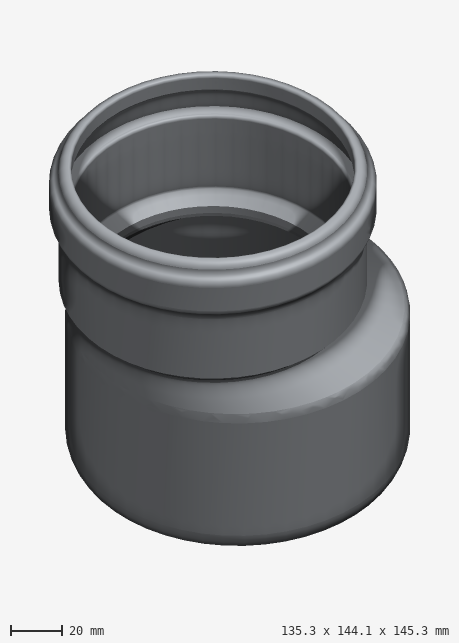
import cadquery as cq
import math


total_height = 145.25
total_depth = 144.14

body_radius = 135.3 / 2
body_bore_radius = 124.7 / 2
body_top_z = 64.1
spigot_round_height = 6.9
spigot_round_inset = 2.15

neck_radius = 110.8 / 2
eccentricity = body_radius - neck_radius
neck_bottom_z = 80.8

shoulder_radius = 5.0
cone_angle = 60
shoulder_steps = 4

socket_radius = 120.9 / 2
socket_base_z = 87.2
socket_top_z = 117.4
bead_radius = total_depth - body_radius - eccentricity
bead_bottom_z = 124.6
bead_top_z = 136.4
bead_lower_blend_z = 121.8
bead_upper_blend_z = 139.5
lip_bottom_z = 142.6

socket_bore_radius = 111 / 2
socket_floor_z = 88.5
socket_floor_round = 0.4
mouth_round = 1.3
groove_radius = 120.4 / 2
groove_bottom_z = 125.8
groove_top_z = 135.7
groove_slope = 1.1
groove_edge_round = 1.4

throat_radius = 99.7 / 2
throat_top_z = 83.5
throat_bottom_z = 80.0
throat_flare_radius = body_bore_radius - eccentricity
throat_flare_z = 78.3
body_bore_top_z = 63.9


def revolve_profile(profile, axis_y):
    """Revolve a closed (radius, z) profile about the vertical axis at Y = axis_y."""
    solid = profile.close().revolve(360, (0, 0, 0), (0, 1, 0))
    return solid.translate((0, axis_y, 0))


def circle_loft(rings, ruled):
    """Loft through horizontal circles given as (radius, centre y, z)."""
    wires = [
        cq.Wire.makeCircle(radius, cq.Vector(0, y, z), cq.Vector(0, 0, 1))
        for radius, y, z in rings
    ]
    return cq.Workplane(obj=cq.Solid.makeLoft(wires, ruled))


def shoulder_ring(angle):
    """Ring of the rounded shoulder; every ring touches the common line on the -Y side."""
    inset = shoulder_radius * (1 - math.cos(math.radians(angle)))
    z = body_top_z + shoulder_radius * math.sin(math.radians(angle))
    return (body_radius - inset / 2, -inset / 2, z)


def make_body_outside():
    profile = (
        cq.Workplane("XZ")
        .moveTo(0, 0)
        .lineTo(0, body_top_z)
        .lineTo(body_radius, body_top_z)
        .lineTo(body_radius, spigot_round_height)
        .tangentArcPoint((body_radius - spigot_round_inset, 0), relative=False)
    )
    return revolve_profile(profile, 0)


def make_cone_outside():
    rings = [shoulder_ring(cone_angle * i / shoulder_steps) for i in range(shoulder_steps + 1)]
    shoulder = circle_loft(rings, False)
    neck_ring = (neck_radius, -eccentricity, neck_bottom_z)
    cone = circle_loft([rings[-1], neck_ring], True)
    return shoulder.union(cone)


def blend_point(z, socket_z, bead_z):
    """Where the hollow and the round of an S-shaped bead flank meet, on its straight chord."""
    share = (z - socket_z) / (bead_z - socket_z)
    return (socket_radius + share * (bead_radius - socket_radius), z)


def make_socket_outside():
    neck_top_z = socket_base_z - (socket_radius - neck_radius)
    lower_blend = blend_point(bead_lower_blend_z, socket_top_z, bead_bottom_z)
    upper_blend = blend_point(bead_upper_blend_z, lip_bottom_z, bead_top_z)
    rim_radius = socket_bore_radius + mouth_round
    lip_width = socket_radius - rim_radius
    lip_height = total_height - lip_bottom_z
    lip_arc_radius = (lip_width**2 + lip_height**2) / (2 * lip_height)
    profile = (
        cq.Workplane("XZ")
        .moveTo(0, neck_bottom_z)
        .lineTo(neck_radius, neck_bottom_z)
        .lineTo(neck_radius, neck_top_z)
        .lineTo(socket_radius, socket_base_z)
        .lineTo(socket_radius, socket_top_z)
        .tangentArcPoint(lower_blend, relative=False)
        .tangentArcPoint((bead_radius, bead_bottom_z), relative=False)
        .lineTo(bead_radius, bead_top_z)
        .tangentArcPoint(upper_blend, relative=False)
        .tangentArcPoint((socket_radius, lip_bottom_z), relative=False)
        .radiusArc((rim_radius, total_height), -lip_arc_radius)
        .lineTo(0, total_height)
    )
    return revolve_profile(profile, -eccentricity)


def make_socket_inside():
    edge_radius = socket_bore_radius + groove_edge_round
    groove_floor_z = groove_bottom_z - groove_slope
    groove_ceiling_z = groove_top_z + groove_slope
    profile = (
        cq.Workplane("XZ")
        .moveTo(0, throat_flare_z)
        .lineTo(throat_flare_radius, throat_flare_z)
        .lineTo(throat_radius, throat_bottom_z)
        .lineTo(throat_radius, throat_top_z)
        .lineTo(socket_bore_radius - socket_floor_round, socket_floor_z - socket_floor_round)
        .tangentArcPoint((socket_bore_radius, socket_floor_z + socket_floor_round), relative=False)
        .lineTo(socket_bore_radius, groove_floor_z - groove_edge_round)
        .tangentArcPoint((edge_radius, groove_floor_z), relative=False)
        .lineTo(groove_radius, groove_bottom_z)
        .lineTo(groove_radius, groove_top_z)
        .lineTo(edge_radius, groove_ceiling_z)
        .tangentArcPoint((socket_bore_radius, groove_ceiling_z + groove_edge_round), relative=False)
        .lineTo(socket_bore_radius, total_height - mouth_round)
        .tangentArcPoint((socket_bore_radius + mouth_round, total_height), relative=False)
        .lineTo(0, total_height)
    )
    return revolve_profile(profile, -eccentricity)


def make_body_inside():
    bore = cq.Workplane("XY").circle(body_bore_radius).extrude(body_bore_top_z)
    bore_ring = (body_bore_radius, 0, body_bore_top_z)
    throat_ring = (throat_flare_radius, -eccentricity, throat_flare_z)
    return bore.union(circle_loft([bore_ring, throat_ring], True))


outside = make_body_outside().union(make_cone_outside()).union(make_socket_outside())
result = outside.cut(make_body_inside()).cut(make_socket_inside())